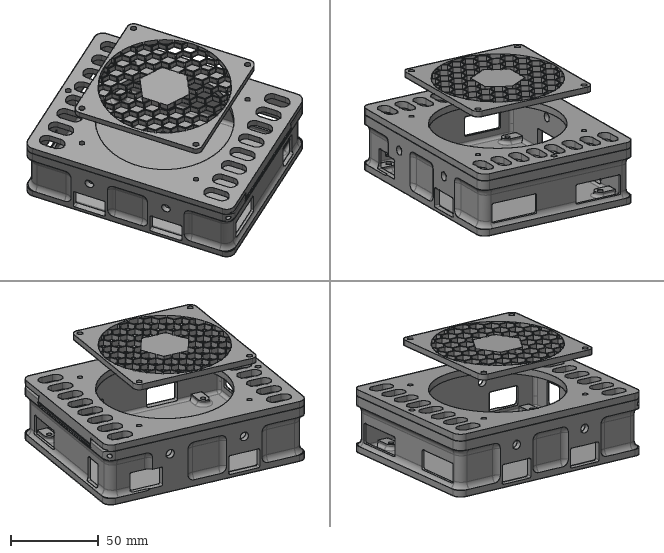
import cadquery as cq
import math

body_length = 129.88
body_width = 102.88
corner_radius = 5.3
housing_height = 33.8
lid_gap = 0.2
lid_bottom = housing_height + lid_gap
lid_thickness = 4.0

wall = 3.4
floor = 1.0
floor_fillet = 2.0
cavity_radius = 2.0

recess_depth = 2.0
recess_bottom = 4.0
recess_top = 28.0
recess_fillet = 5.0
middle_recess_half_flat = 8.5
end_recess_flat_start = 39.5
fillet_reach = math.sqrt(recess_fillet ** 2 - (recess_fillet - recess_depth) ** 2)

recess_z = (recess_bottom + fillet_reach - recess_fillet, recess_top - fillet_reach + recess_fillet)
recess_overhang = 4 * recess_fillet

rib_x = 24.0
wire_hole_dia = 5.3
wire_hole_z = 24.0
long_window_width = 20.0
window_bottom = 2.0
window_height = 12.0
window_radius = 1.0
window_reach = 2 * wall
back_inlet_x = 39.0
back_inlet_bottom = 4.8

short_window_bottom = 6.4
left_window_y = 28.3
left_window_width = 30.0
right_window_width = 24.0
right_inlet_y = 30.9
right_inlet_width = 12.0
right_inlet_bottom = 5.0
right_inlet_height = 15.0

boss_centre_x = 3.55
boss_spacing_x = 99.7
boss_spacing_y = 80.0
boss_xs = (boss_centre_x - boss_spacing_x / 2, boss_centre_x + boss_spacing_x / 2)
boss_radius = 3.45
boss_height = 3.0
boss_hole_dia = 3.0

hinge_x = body_length / 2 - 2.35
hinge_z = 31.0
hinge_radius = 3.0
hinge_length = 62.4
hinge_hole_dia = 2.4
hinge_clearance = 0.3
hinge_edge_round = 1.5
lid_relief_height = 0.5

fan_opening_dia = 79.0
vent_length = 15.0
vent_width = 8.0
vent_pitch = 12.0
vent_count = 8
vent_x = 51.5
latch_hole_x = -60.5
lid_screw_dia = 3.0
latch_hole_dia = 3.3
latch_hole_depth = 3.0

screw_spacing = 71.5
grill_size = 79.2
grill_radius = 4.0
grill_thickness = 3.5
grill_top = 65.9
grill_hole_dia = 3.3
grill_opening_dia = 76.0
cell_flat = 8.0
cell_pitch = 8.75
centre_plate_flat = 27.0


def rounded_block(length, width, radius, bottom, top):
    """Upright block centred on the Z axis with rounded vertical edges."""
    block = cq.Workplane("XY").workplane(offset=bottom).rect(length, width).extrude(top - bottom)
    return block.edges("|Z").fillet(radius)


def box_between(x_range, y_range, z_range):
    """Box spanning the given (low, high) ranges."""
    size = [high - low for low, high in (x_range, y_range, z_range)]
    return cq.Workplane("XY").box(*size, centered=False).translate((x_range[0], y_range[0], z_range[0]))


def bar_along_y(x, z, dia):
    """Round bar parallel to Y, longer than the body."""
    return cq.Workplane("XZ").center(x, z).circle(dia / 2).extrude(body_width, both=True)


def screw_pattern(workplane, dia, depth):
    """Four round cutters on the fan screw pattern."""
    corners = workplane.rect(screw_spacing, screw_spacing, forConstruction=True).vertices()
    return corners.circle(dia / 2).extrude(depth)


def end_recess():
    """Recess that wraps around the +X end of the housing."""
    start_x = end_recess_flat_start - recess_fillet
    far_y = body_width / 2 + recess_overhang
    neck_half_x = body_length / 2 - recess_depth
    neck_half_y = body_width / 2 - recess_depth
    cutter = box_between((start_x, body_length / 2 + recess_overhang), (-far_y, far_y), recess_z)
    neck = rounded_block(2 * neck_half_x, 2 * neck_half_y, corner_radius, *recess_z)
    cutter = cutter.cut(neck)
    near_neck = cq.selectors.BoxSelector(
        (start_x - 1, -neck_half_y - 1, recess_z[0] - 1),
        (neck_half_x + 1, neck_half_y + 1, recess_z[1] + 1),
    )
    neck_edges = cutter.edges(near_neck).edges("not |Z").vals()
    end_faces = cutter.faces("<X")
    end_edges = end_faces.edges("|Y").vals() + end_faces.edges("|Z").edges(near_neck).vals()
    cutter = cutter.newObject(neck_edges + end_edges).fillet(recess_fillet)
    slab = box_between((0, body_length), (-far_y, far_y), (recess_bottom, recess_top))
    return cutter.intersect(slab)


def middle_recess():
    """Recess in the middle of the front (-Y) wall."""
    half_x = middle_recess_half_flat + recess_fillet
    floor_y = -body_width / 2 + recess_depth
    cutter = box_between((-half_x, half_x), (floor_y - recess_overhang, floor_y), recess_z)
    return cutter.edges("|Y or >Y").fillet(recess_fillet)


def boss(x, side):
    """Boss around a mounting hole, running out past the +Y (side 1) or -Y (side -1) wall."""
    boss_y = side * boss_spacing_y / 2
    run = body_width / 2 - boss_spacing_y / 2
    base = cq.Workplane("XY").workplane(offset=floor).center(x, boss_y)
    nose = base.circle(boss_radius).extrude(boss_height)
    return nose.union(base.center(0, side * run / 2).rect(2 * boss_radius, run).extrude(boss_height))


def cavity():
    """Inside of the housing, leaving the bosses and the fillets around the floor standing."""
    space = rounded_block(body_length - 2 * wall, body_width - 2 * wall, cavity_radius, floor, housing_height)
    for x in boss_xs:
        for side in (-1, 1):
            space = space.cut(boss(x, side))
    return space.faces("<Z").edges().fillet(floor_fillet)


def long_wall_window(x, bottom, side):
    """Rounded window cutter through the back (side 1) or front (side -1) wall."""
    wall_y = side * body_width / 2
    half_width = long_window_width / 2
    cutter = box_between((x - half_width, x + half_width), (wall_y - window_reach, wall_y + window_reach),
                         (bottom, bottom + window_height))
    return cutter.edges("|Y").fillet(window_radius)


def short_wall_window(y, width, bottom, height, side):
    """Rounded window cutter through the right (side 1) or left (side -1) wall."""
    wall_x = side * body_length / 2
    cutter = box_between((wall_x - window_reach, wall_x + window_reach), (y - width / 2, y + width / 2),
                         (bottom, bottom + height))
    return cutter.edges("|X").fillet(window_radius)


def make_housing():
    body = rounded_block(body_length, body_width, corner_radius, 0, housing_height)
    for recess in (end_recess(), middle_recess()):
        body = body.cut(recess).cut(recess.rotate((0, 0, 0), (0, 0, 1), 180))
    body = body.cut(cavity())

    boss_holes = (
        cq.Workplane("XY").center(boss_centre_x, 0)
        .rect(boss_spacing_x, boss_spacing_y, forConstruction=True).vertices()
        .circle(boss_hole_dia / 2).extrude(floor + boss_height)
    )
    body = body.cut(boss_holes)

    for x in (-rib_x, rib_x):
        body = body.cut(bar_along_y(x, wire_hole_z, wire_hole_dia))
        body = body.cut(long_wall_window(x, window_bottom, -1))
    body = body.cut(long_wall_window(-rib_x, window_bottom, 1))
    body = body.cut(long_wall_window(back_inlet_x, back_inlet_bottom, 1))

    for y in (-left_window_y, left_window_y):
        body = body.cut(short_wall_window(y, left_window_width, short_window_bottom, window_height, -1))
    body = body.cut(short_wall_window(-left_window_y, right_window_width, short_window_bottom,
                                      window_height, 1))
    body = body.cut(short_wall_window(right_inlet_y, right_inlet_width, right_inlet_bottom,
                                      right_inlet_height, 1))
    return cut_hinge_seat(body)


def cut_hinge_seat(body):
    """Opening for the lid knuckle, rounded edge over the end knuckles and the pin hole."""
    half_gap = hinge_length / 2 + hinge_clearance
    seat_x = hinge_x - hinge_radius - hinge_clearance
    seat_z = hinge_z - hinge_radius
    body = body.cut(box_between((seat_x, body_length), (-half_gap, half_gap), (seat_z, housing_height)))
    round_x = body_length / 2 - hinge_edge_round
    round_z = housing_height - hinge_edge_round
    edge = box_between((round_x, body_length), (-body_width, body_width), (round_z, 2 * housing_height))
    edge = edge.cut(bar_along_y(round_x, round_z, 2 * hinge_edge_round))
    return body.cut(edge).cut(bar_along_y(hinge_x, hinge_z, hinge_hole_dia))


def make_lid():
    lid_top = lid_bottom + lid_thickness
    lid = rounded_block(body_length, body_width, corner_radius, lid_bottom, lid_top)
    under = cq.Workplane("XY").workplane(offset=lid_bottom)
    lid = lid.cut(under.circle(fan_opening_dia / 2).extrude(lid_thickness))
    lid = lid.cut(screw_pattern(under, lid_screw_dia, lid_thickness))
    top = cq.Workplane("XY").workplane(offset=lid_top)
    lid = lid.cut(top.center(latch_hole_x, 0).circle(latch_hole_dia / 2).extrude(-latch_hole_depth))
    for x in (-vent_x, vent_x):
        vents = under.center(x, 0).rarray(1, vent_pitch, 1, vent_count).slot2D(vent_length, vent_width)
        lid = lid.cut(vents.extrude(lid_thickness))

    relief = box_between((body_length / 2 - hinge_edge_round, body_length), (-body_width, body_width),
                         (lid_bottom, lid_bottom + lid_relief_height))
    lid = lid.cut(relief)
    half_length = hinge_length / 2
    web = box_between((hinge_x - hinge_radius, body_length / 2), (-half_length, half_length),
                      (hinge_z, lid_bottom + lid_relief_height))
    barrel = cq.Workplane("XZ").center(hinge_x, hinge_z).circle(hinge_radius).extrude(half_length, both=True)
    flush_cut = box_between((body_length / 2, body_length), (-half_length, half_length),
                            (hinge_z, lid_bottom))
    barrel = barrel.cut(flush_cut)
    return lid.union(web).union(barrel).cut(bar_along_y(hinge_x, hinge_z, hinge_hole_dia))


def corner_dia(flat):
    """Circumscribed diameter of a hexagon with the given width across flats."""
    return flat * 2 / math.sqrt(3)


def cell_centres():
    """Honeycomb cell centres that reach into the grill opening."""
    column_pitch = cell_pitch * math.sqrt(3) / 2
    reach = (grill_opening_dia + corner_dia(cell_flat)) / 2
    columns = math.ceil(reach / column_pitch)
    rows = math.ceil(reach / cell_pitch)
    centres = []
    for column in range(-columns, columns + 1):
        shift = cell_pitch / 2 if column % 2 else 0
        for row in range(-rows, rows + 1):
            centre = (column * column_pitch, row * cell_pitch + shift)
            if math.hypot(*centre) < reach:
                centres.append(centre)
    return centres


def make_grill():
    bottom = grill_top - grill_thickness
    plate = rounded_block(grill_size, grill_size, grill_radius, bottom, grill_top)
    base = cq.Workplane("XY").workplane(offset=bottom)
    plate = plate.cut(screw_pattern(base, grill_hole_dia, grill_thickness))
    cells = base.pushPoints(cell_centres()).polygon(6, corner_dia(cell_flat)).extrude(grill_thickness)
    cells = cells.intersect(base.circle(grill_opening_dia / 2).extrude(grill_thickness))
    cells = cells.cut(base.polygon(6, corner_dia(centre_plate_flat)).extrude(grill_thickness))
    return plate.cut(cells)


housing = make_housing()
lid = make_lid()
grill = make_grill()

result = cq.Compound.makeCompound([housing.val(), lid.val(), grill.val()])